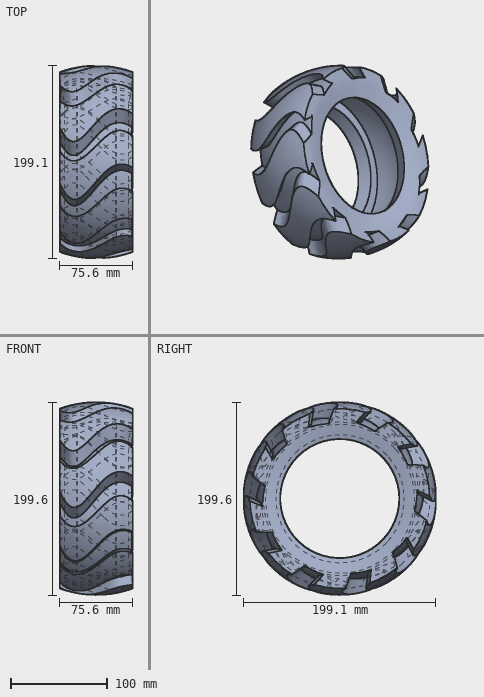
import cadquery as cq
import math

crown_radius = 99.8
shoulder_radius = 93.0
rim_band_radius = 91.5
width = 75.6
half_width = width / 2
sidewall_mid_radius = 81.0
sidewall_mid_half_width = 37.1
bore_radius = 61.5
bore_half_width = 33.1

bead_radius = 66.3
bead_half_width = 19.5
cavity_half_width = 20.8
cavity_edge_radius = 77.0
cavity_crown_radius = 79.5

groove_count = 10
groove_length = 17.0
upper_wall_slant = 40.0
lower_wall_slant = 26.0
upper_wave_levels = {"start": -53.0, "valley": -69.0, "middle": -53.0, "peak": -38.7, "end": -40.5}
lower_wave_levels = {"start": -55.3, "valley": -66.7, "middle": -54.3, "peak": -40.1, "end": -43.1}
valley_x = -18.5
peak_x = 23.2
cut_margin = 0.4
cut_reach = 59.9


def tread_radius(x):
    """Radius of the circular crown arc at a distance x from the middle."""
    drop = crown_radius - shoulder_radius
    arc_radius = (half_width ** 2 + drop ** 2) / (2 * drop)
    return crown_radius - arc_radius + math.sqrt(arc_radius ** 2 - x ** 2)


def spin(section):
    return section.close().revolve(360, (0, 0, 0), (1, 0, 0))


def make_carcass():
    section = (
        cq.Workplane("XY")
        .moveTo(-bore_half_width, bore_radius)
        .threePointArc((-sidewall_mid_half_width, sidewall_mid_radius), (-half_width, rim_band_radius))
        .lineTo(-half_width, shoulder_radius)
        .threePointArc((0, crown_radius), (half_width, shoulder_radius))
        .lineTo(half_width, rim_band_radius)
        .threePointArc((sidewall_mid_half_width, sidewall_mid_radius), (bore_half_width, bore_radius))
        .lineTo(bead_half_width, bead_radius)
        .lineTo(cavity_half_width, cavity_edge_radius)
        .threePointArc((0, cavity_crown_radius), (-cavity_half_width, cavity_edge_radius))
        .lineTo(-bead_half_width, bead_radius)
    )
    return spin(section)


def make_sunken_core():
    """Solid under the groove floors: the tread shape shifted inwards along the slant."""
    end_x = half_width + cut_margin
    section = (
        cq.Workplane("XY")
        .moveTo(-end_x, 0)
        .lineTo(-end_x, tread_radius(end_x))
        .threePointArc((0, crown_radius), (end_x, tread_radius(end_x)))
        .lineTo(end_x, 0)
    )
    slant = math.radians(upper_wall_slant)
    shift = (0, groove_length * math.cos(slant), -groove_length * math.sin(slant))
    return spin(section).translate(shift)


def make_wave_block(slant, levels, side):
    """Block on one side (+1 above, -1 below) of an S-shaped wall slanting outwards."""
    angle = math.radians(slant)
    outward = cq.Vector(0, -math.cos(angle), math.sin(angle))
    plane = cq.Plane(origin=(0, 0, 0), xDir=(1, 0, 0), normal=outward)
    end_x = half_width + cut_margin
    wave = [
        (-end_x, levels["start"]),
        (valley_x, levels["valley"]),
        ((valley_x + peak_x) / 2, levels["middle"]),
        (peak_x, levels["peak"]),
        (end_x, levels["end"]),
    ]
    far_level = levels["middle"] + side * cut_reach
    return (
        cq.Workplane(plane)
        .moveTo(*wave[0])
        .spline(wave[1:], includeCurrent=True)
        .lineTo(end_x, far_level)
        .lineTo(-end_x, far_level)
        .close()
        .extrude(2 * crown_radius)
    )


def make_groove():
    below_upper = make_wave_block(upper_wall_slant, upper_wave_levels, -1)
    above_lower = make_wave_block(lower_wall_slant, lower_wave_levels, 1)
    return below_upper.intersect(above_lower).cut(make_sunken_core())


result = make_carcass()
groove = make_groove()
for index in range(groove_count):
    result = result.cut(groove.rotate((0, 0, 0), (1, 0, 0), index * 360 / groove_count))